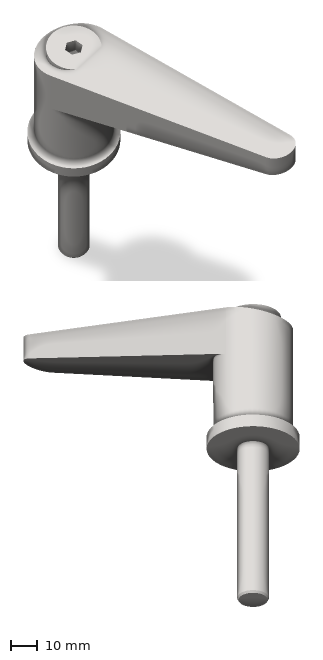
import cadquery as cq
import math

total_height = 147.8
total_length = 125.5
stud_radius = 12.0 / 2
stud_length = 65.0
stud_chamfer_width = 0.52
stud_chamfer_height = 0.9

collar_radius = 35.0 / 2
collar_height = 5.0
hub_radius = 30.0 / 2
collar_fillet = collar_radius - hub_radius

cap_radius = 10.5
cap_top = 121.5
socket_across_flats = 6.0
socket_depth = 5.9
socket_tip_angle = 120.0

tip_radius = 14.0 / 2
tip_reach = total_length - collar_radius
top_slope_angle = 14.7
bottom_slope_angle = 19.7
tip_height = 9.8

tip_center = tip_reach - tip_radius
top_slope = math.tan(math.radians(top_slope_angle))
bottom_slope = math.tan(math.radians(bottom_slope_angle))
flank_sin = (hub_radius - tip_radius) / tip_center
flank_cos = math.sqrt(1 - flank_sin**2)
hub_tangent = (hub_radius * flank_sin, hub_radius * flank_cos)
tip_tangent = (tip_center + tip_radius * flank_sin, tip_radius * flank_cos)


def top_z(x):
    return total_height - (tip_reach - x) * top_slope


def bottom_z(x):
    return total_height - tip_height - (tip_reach - x) * bottom_slope


def side_prism(points):
    """Polygon in the XZ plane, extruded across the full width of the part."""
    return cq.Workplane("XZ").polyline(points).close().extrude(collar_radius, both=True)


def make_stud_and_collar():
    collar_top = stud_length + collar_height
    fillet_top = collar_top + collar_fillet
    sag = collar_fillet * math.sqrt(0.5)
    fillet_middle = (collar_radius - sag, fillet_top - sag)
    return (
        cq.Workplane("XZ")
        .moveTo(0, 0)
        .lineTo(stud_radius - stud_chamfer_width, 0)
        .lineTo(stud_radius, stud_chamfer_height)
        .lineTo(stud_radius, stud_length)
        .lineTo(collar_radius, stud_length)
        .lineTo(collar_radius, collar_top)
        .threePointArc(fillet_middle, (hub_radius, fillet_top))
        .lineTo(0, fillet_top)
        .close()
        .revolve(360, (0, 0, 0), (0, 1, 0))
    )


def make_hub():
    cylinder = cq.Workplane("XY").workplane(offset=stud_length).circle(hub_radius).extrude(total_height)
    below_slope = side_prism([
        (-hub_radius, stud_length),
        (hub_radius, stud_length),
        (hub_radius, top_z(hub_radius)),
        (-hub_radius, top_z(-hub_radius)),
    ])
    return cylinder.intersect(below_slope)


def make_handle():
    start = hub_tangent[0]
    plan = (
        cq.Workplane("XY")
        .moveTo(start, -hub_tangent[1])
        .lineTo(tip_tangent[0], -tip_tangent[1])
        .threePointArc((tip_reach, 0), tip_tangent)
        .lineTo(*hub_tangent)
        .close()
        .extrude(total_height)
    )
    side = side_prism([
        (start, bottom_z(start)),
        (tip_reach, bottom_z(tip_reach)),
        (tip_reach, top_z(tip_reach)),
        (start, top_z(start)),
    ])
    return plan.intersect(side)


def make_cap():
    return cq.Workplane("XY").workplane(offset=stud_length).circle(cap_radius).extrude(cap_top - stud_length)


def make_socket():
    """Hexagonal recess with a conical floor."""
    across_corners = socket_across_flats / math.cos(math.radians(30))
    cone_radius = across_corners / 2
    cone_height = cone_radius / math.tan(math.radians(socket_tip_angle / 2))
    floor_z = cap_top - socket_depth
    hexagon = (
        cq.Workplane("XY")
        .workplane(offset=floor_z - cone_height)
        .polygon(6, across_corners)
        .extrude(socket_depth + cone_height)
    )
    drilled = (
        cq.Workplane("XZ")
        .moveTo(0, floor_z - cone_height)
        .lineTo(cone_radius, floor_z)
        .lineTo(cone_radius, cap_top)
        .lineTo(0, cap_top)
        .close()
        .revolve(360, (0, 0, 0), (0, 1, 0))
    )
    return hexagon.intersect(drilled)


result = (
    make_stud_and_collar()
    .union(make_hub())
    .union(make_handle())
    .union(make_cap())
    .cut(make_socket())
)